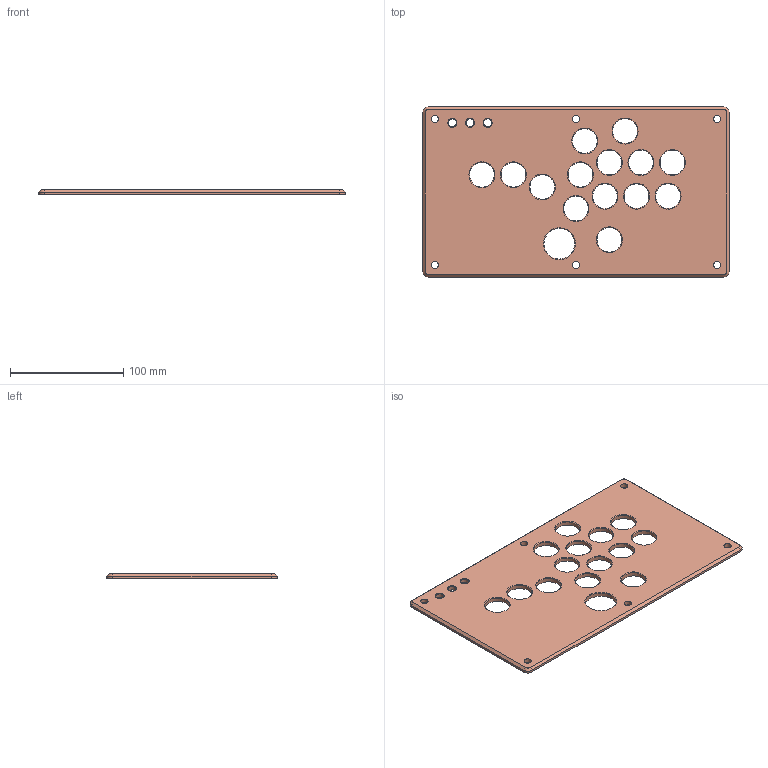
import cadquery as cq

LENGTH = 270.0
WIDTH = 150.0
THICKNESS = 4.0
CORNER_RADIUS = 5.0
TOP_BEVEL = 2.0

SCREW_HOLE_DIAMETER = 6.4
SCREW_INSET = 10.5
SMALL_BUTTON_DIAMETER = 7.0
BUTTON_DIAMETER = 21.8
THUMB_BUTTON_DIAMETER = 27.1
HOLE_CHAMFER = 0.5

SMALL_BUTTON_COUNT = 3
SMALL_BUTTON_PITCH = 15.55
FIRST_SMALL_BUTTON = (-109.0, 61.0)

BUTTON_PITCH = 27.82
ROW_BUTTON_COUNT = 3
UPPER_ROW_START = (29.4, 26.0)
LOWER_ROW_START = (25.6, -3.7)
LEFT_PAIR_COUNT = 2
LEFT_PAIR_START = (-83.0, 15.2)
SINGLE_BUTTON_CENTERS = [
    (-29.7, 4.4),
    (0.0, -14.6),
    (3.9, 15.2),
    (7.75, 45.0),
    (43.33, 53.7),
    (29.4, -42.15),
]
THUMB_BUTTON_CENTER = (-14.7, -45.6)


def make_plate():
    """Flat plate with rounded corners and a bevel around the top edge."""
    plate = cq.Workplane("XY").box(LENGTH, WIDTH, THICKNESS, centered=(True, True, False))
    plate = plate.edges("|Z").fillet(CORNER_RADIUS)
    return plate.faces(">Z").chamfer(TOP_BEVEL)


def row_of_centers(start, pitch, count):
    """Evenly spaced centres running along +X from the start point."""
    return [(start[0] + i * pitch, start[1]) for i in range(count)]


def through_holes(centers, diameter):
    """Plain cylinders that cut right through the plate."""
    return cq.Workplane("XY").pushPoints(centers).circle(diameter / 2).extrude(THICKNESS)


def chamfered_holes(centers, diameter):
    """Through cylinders that flare out at the top face by the hole chamfer."""
    radius = diameter / 2
    flare = cq.Solid.makeCone(radius, radius + HOLE_CHAMFER, HOLE_CHAMFER)
    cutter = through_holes(centers, diameter)
    for x, y in centers:
        top_flare = flare.translate(cq.Vector(x, y, THICKNESS - HOLE_CHAMFER))
        cutter = cutter.union(cq.Workplane(top_flare))
    return cutter


screw_x = LENGTH / 2 - SCREW_INSET
screw_y = WIDTH / 2 - SCREW_INSET
screw_centers = [(x, y) for x in (-screw_x, 0, screw_x) for y in (-screw_y, screw_y)]

small_button_centers = row_of_centers(FIRST_SMALL_BUTTON, SMALL_BUTTON_PITCH, SMALL_BUTTON_COUNT)

button_centers = (
    row_of_centers(LEFT_PAIR_START, BUTTON_PITCH, LEFT_PAIR_COUNT)
    + row_of_centers(UPPER_ROW_START, BUTTON_PITCH, ROW_BUTTON_COUNT)
    + row_of_centers(LOWER_ROW_START, BUTTON_PITCH, ROW_BUTTON_COUNT)
    + SINGLE_BUTTON_CENTERS
)

result = (
    make_plate()
    .cut(through_holes(screw_centers, SCREW_HOLE_DIAMETER))
    .cut(chamfered_holes(small_button_centers, SMALL_BUTTON_DIAMETER))
    .cut(chamfered_holes(button_centers, BUTTON_DIAMETER))
    .cut(chamfered_holes([THUMB_BUTTON_CENTER], THUMB_BUTTON_DIAMETER))
)